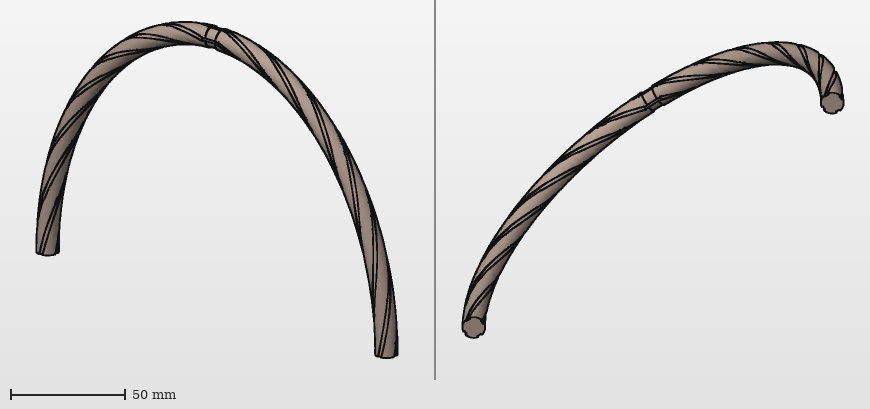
import cadquery as cq
import math

span = 200.0
height = 129.8
rod_diameter = 10.0
groove_count = 4
groove_width = 1.8
groove_depth = 0.5
twist_per_side = 540.0
collar_length = 5.5
collar_radius = 4.5
key_length = 9.0
key_width = 1.2
key_radius = 4.7
sections_per_side = 40
crown_sections = 2

rod_radius = rod_diameter / 2
groove_floor = rod_radius - groove_depth
half_width = span / 2 - rod_radius
rise = height - rod_radius
key_angle = math.asin(key_length / 2 / half_width)
collar_angle = math.asin(collar_length / 2 / half_width)


def section_plane(angle):
    """Plane square to the centre line; angle is 0 at the crown, +-90 degrees at the feet."""
    sine = math.sin(angle)
    cosine = math.cos(angle)
    origin = (half_width * sine, 0, rise * cosine)
    tangent = (half_width * cosine, 0, -rise * sine)
    return cq.Plane(origin=origin, xDir=(0, -1, 0), normal=tangent)


def groove_twist(angle):
    """Groove rotation, in radians, at a place on the arch."""
    twisted = max(abs(angle) - key_angle, 0) / (math.pi / 2 - key_angle)
    return math.copysign(math.radians(twist_per_side) * twisted, angle)


def grooved_section(angle, radius, width, floor_radius):
    """Round section whose rim steps to floor_radius at each groove or key."""
    plane = section_plane(angle)
    twist = groove_twist(angle)
    half_groove = math.asin(width / 2 / radius)
    floor_half_groove = math.asin(width / 2 / floor_radius)
    pitch = 2 * math.pi / groove_count

    def point(reach, turn):
        turn += twist
        return plane.toWorldCoords((reach * math.cos(turn), reach * math.sin(turn)))

    edges = []
    for index in range(groove_count):
        centre = index * pitch
        floor_start = point(floor_radius, centre - floor_half_groove)
        floor_end = point(floor_radius, centre + floor_half_groove)
        land_start = point(radius, centre + half_groove)
        land_middle = point(radius, centre + pitch / 2)
        land_end = point(radius, centre + pitch - half_groove)
        next_floor = point(floor_radius, centre + pitch - floor_half_groove)
        edges.append(cq.Edge.makeThreePointArc(floor_start, point(floor_radius, centre), floor_end))
        edges.append(cq.Edge.makeLine(floor_end, land_start))
        edges.append(cq.Edge.makeThreePointArc(land_start, land_middle, land_end))
        edges.append(cq.Edge.makeLine(land_end, next_floor))
    return cq.Wire.assembleEdges(edges)


def arch_piece(start, end, count, radius, width, floor_radius):
    """Smooth solid through evenly spaced sections between two places on the arch."""
    step = (end - start) / count
    sections = [
        grooved_section(start + index * step, radius, width, floor_radius) for index in range(count + 1)
    ]
    return cq.Workplane(cq.Solid.makeLoft(sections))


result = arch_piece(-collar_angle, collar_angle, crown_sections, collar_radius, key_width, key_radius)

foot_angle = math.pi / 2
for side in (-1, 1):
    shoulder_start = side * collar_angle
    leg_start = side * key_angle
    shoulder = arch_piece(shoulder_start, leg_start, crown_sections, rod_radius, key_width, key_radius)
    leg = arch_piece(leg_start, side * foot_angle, sections_per_side, rod_radius, groove_width, groove_floor)
    result = result.union(shoulder).union(leg)